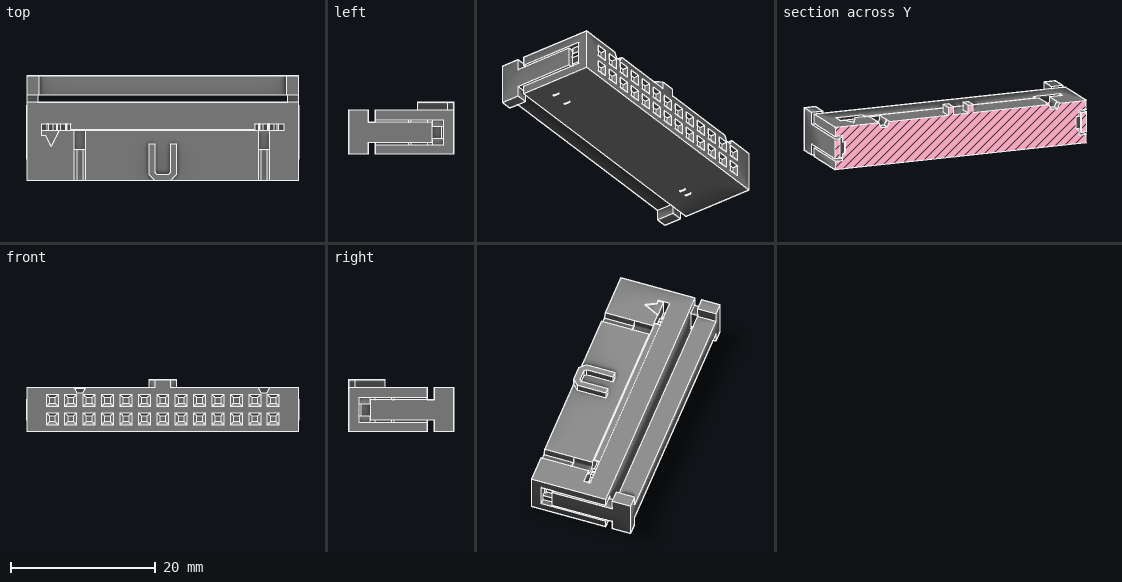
import cadquery as cq


pitch = 2.54
columns = 13
rows = 2
cable_pitch = pitch / 2

body_length = 37.5
body_depth = 10.85
body_height = 6.1
half_length = body_length / 2
mid_height = body_height / 2
top = body_height

overall_depth = 14.5
bar_depth = 2.7
bar_front = overall_depth - bar_depth
lug_length = 1.7
arm_thickness = 1.55
arm_height = 2.83
arm_tip = 3.0
arm_tip_thickness = 0.75
arm_splay = 0.05
clip_mid_height = 3.0

recess_height = 3.5
recess_front = 1.43
tip_floor = 0.75
middle_floor = 1.4
rear_floor = 1.7
front_ramp = (2.95, 3.6)
rear_ramp = (5.9, 6.23)
pocket_height = 1.7
pocket_front = 1.7
pocket_rear = front_ramp[1]
pocket_depth = 1.5
pocket_step_depth = 1.3

entry_width = 1.65
entry_floor_width = 0.8
entry_depth = 0.42

key_width = 3.8
key_wall = 0.82
key_length = 5.03
key_height = 1.1
key_end_wall = 0.85
key_inner_chamfer = 0.3

groove_positions = (-4.5 * pitch, 5.5 * pitch)
groove_width = 1.58
groove_floor_width = 0.82
groove_front_depth = 0.74
groove_rear_depth = 1.0
groove_rear_round = 0.35
groove_step = 4.3

window_front = 6.95
window_rear = 7.85
window_inner = 12.73
window_outer = 16.7
window_depth = 2.5
lid_gap = 0.1
lid_thickness = 0.15

fork_height = 0.6
fork_half_width = 0.51
fork_slit = 0.17
inner_wire = 10.5 * cable_pitch
middle_wire = inner_wire + cable_pitch
outer_wire = middle_wire + cable_pitch

mark_depth = 0.2
mark_center = -15.4
mark_half_width = 1.13
mark_length = 2.25
mark_strip = 0.75


def box(x_range, y_range, z_range):
    """Block between the given limits."""
    size = [high - low for low, high in (x_range, y_range, z_range)]
    corner = (x_range[0], y_range[0], z_range[0])
    return cq.Workplane("XY").box(*size, centered=False).translate(corner)


def band(height):
    """Z limits of a feature of this height, centred on the clip arms."""
    return (clip_mid_height - height / 2, clip_mid_height + height / 2)


def both_ends(shape):
    """The shape together with its mirror image at the other end of the housing."""
    return shape.union(shape.mirror("YZ"))


def make_pin_entries():
    """Square funnels, each ending on a flat floor."""
    funnel = (
        cq.Workplane("XZ")
        .rect(entry_width, entry_width)
        .workplane(offset=-entry_depth)
        .rect(entry_floor_width, entry_floor_width)
        .loft(ruled=True)
    )
    entries = cq.Workplane("XY")
    for column in range(columns):
        for row in range(rows):
            x = (column - (columns - 1) / 2) * pitch
            z = mid_height + (row - (rows - 1) / 2) * pitch
            entries = entries.add(funnel.translate((x, 0, z)))
    return entries.combine()


def make_key():
    """U-shaped key, open towards the rear, with its two front corners cut off."""
    half = key_width / 2
    inner = half - key_wall
    outline = [
        (-inner, 0),
        (inner, 0),
        (half, key_end_wall),
        (half, key_length),
        (inner, key_length),
        (inner, key_end_wall + key_inner_chamfer),
        (inner - key_inner_chamfer, key_end_wall),
        (-inner + key_inner_chamfer, key_end_wall),
        (-inner, key_end_wall + key_inner_chamfer),
        (-inner, key_length),
        (-half, key_length),
        (-half, key_end_wall),
    ]
    return cq.Workplane("XY").workplane(offset=top).polyline(outline).close().extrude(key_height)


def make_groove(x):
    """Keying groove: tapered at the mating face, round-bottomed behind it."""
    half = groove_width / 2
    half_floor = groove_floor_width / 2
    floor = top - groove_front_depth
    section = [(x - half, top), (x - half_floor, floor), (x + half_floor, floor), (x + half, top)]
    front = cq.Workplane("XZ").polyline(section).close().extrude(-groove_step)
    rear = box((x - half, x + half), (groove_step, window_front), (top - groove_rear_depth, top))
    rear = rear.edges("|Y and <Z").fillet(groove_rear_round)
    return front.union(rear)


def make_windows():
    """Cable slot under a thin lid that leaves a window at each end and a narrow gap along its front."""
    y_range = (window_front, window_rear)
    slot = box((-window_outer, window_outer), y_range, (top - window_depth, top))
    lid_y = (window_front + lid_gap, window_rear)
    lid = box((-window_inner, window_inner), lid_y, (top - lid_thickness, top))
    return slot.cut(lid)


def make_forks():
    """Raised contacts on the window floors, at alternate cable wires."""
    floor = top - window_depth
    limits = [
        (-middle_wire - fork_half_width, -middle_wire + fork_half_width),
        (window_inner, inner_wire + fork_half_width),
        (outer_wire - fork_half_width, window_outer),
    ]
    forks = cq.Workplane("XY")
    for x_range in limits:
        forks = forks.add(box(x_range, (window_front, window_rear), (floor, floor + fork_height)))
    return forks.combine()


def make_fork_slits():
    """Wire slits: two in each window pass through the underside, one is blind."""
    floor = top - window_depth
    starts = {
        -outer_wire: 0,
        -middle_wire: floor,
        -inner_wire: 0,
        inner_wire: 0,
        middle_wire: 0,
        outer_wire: floor,
    }
    slits = cq.Workplane("XY")
    for x, z_start in starts.items():
        x_range = (x - fork_slit / 2, x + fork_slit / 2)
        slits = slits.add(box(x_range, (window_front, window_rear), (z_start, top)))
    return slits.combine()


def make_pin_one_mark():
    """Shallow arrow in front of the first window, with a strip beside its base."""
    arrow = [
        (mark_center - mark_half_width, window_front),
        (mark_center, window_front - mark_length),
        (mark_center + mark_half_width, window_front),
    ]
    mark = cq.Workplane("XY").workplane(offset=top).polyline(arrow).close().extrude(-mark_depth)
    strip_y = (window_front - mark_strip, window_front)
    strip = box((-window_outer, mark_center), strip_y, (top - mark_depth, top))
    return mark.union(strip)


def make_arm_recesses():
    """Side recesses, deepest at the rear, with a deeper pocket around each arm tip."""
    profile = [
        (half_length, recess_front),
        (half_length - tip_floor, recess_front),
        (half_length - tip_floor, front_ramp[0]),
        (half_length - middle_floor, front_ramp[1]),
        (half_length - middle_floor, rear_ramp[0]),
        (half_length - rear_floor, rear_ramp[1]),
        (half_length - rear_floor, body_depth),
        (half_length, body_depth),
    ]
    bottom = band(recess_height)[0]
    recess = cq.Workplane("XY").workplane(offset=bottom).polyline(profile).close().extrude(recess_height)
    pocket_band = band(pocket_height)
    pocket = box((half_length - pocket_depth, half_length), (pocket_front, pocket_rear), pocket_band)
    step = box((half_length - pocket_step_depth, half_length), (recess_front, pocket_front), pocket_band)
    return both_ends(recess.union(pocket).union(step))


def make_clip():
    """Crossbar with full-height end lugs; the outer sides splay slightly towards the arm tips."""
    side_outline = [
        (half_length, overall_depth),
        (half_length + arm_splay, arm_tip),
        (half_length - arm_tip_thickness, arm_tip),
        (half_length - arm_tip_thickness, pocket_rear),
        (half_length - arm_thickness, pocket_rear),
        (half_length - arm_thickness, overall_depth),
    ]
    bottom = band(arm_height)[0]
    arm = cq.Workplane("XY").workplane(offset=bottom).polyline(side_outline).close().extrude(arm_height)
    splay_at_bar = arm_splay * bar_depth / (overall_depth - arm_tip)
    lug_outline = [
        (half_length, overall_depth),
        (half_length + splay_at_bar, bar_front),
        (half_length - lug_length, bar_front),
        (half_length - lug_length, overall_depth),
    ]
    lug = cq.Workplane("XY").polyline(lug_outline).close().extrude(top)
    crossbar = box((-half_length, half_length), (bar_front, overall_depth), band(arm_height))
    return crossbar.union(both_ends(arm.union(lug)))


housing = box((-half_length, half_length), (0, body_depth), (0, top))
housing = housing.cut(make_pin_entries()).cut(make_arm_recesses())
for groove_x in groove_positions:
    housing = housing.cut(make_groove(groove_x))
housing = housing.cut(make_windows()).union(make_forks()).cut(make_fork_slits())
housing = housing.cut(make_pin_one_mark()).union(make_key())

result = housing.union(make_clip())